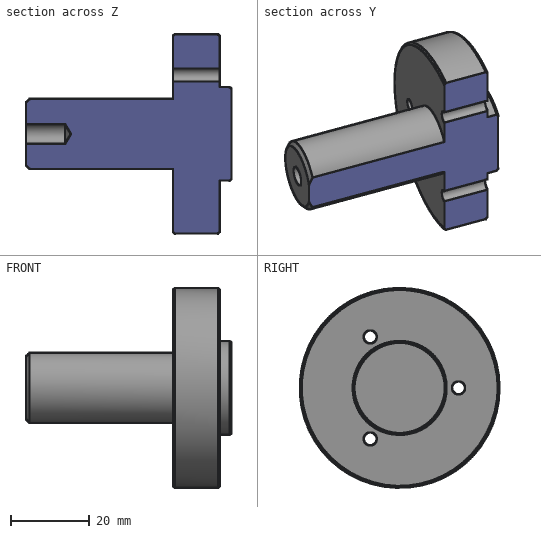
import cadquery as cq
import math

total_length = 52.5
flange_thickness = 12.0
spigot_length = 3.0
shaft_length = total_length - flange_thickness - spigot_length

shaft_diameter = 18.0
flange_diameter = 51.0
spigot_diameter = 24.0

shaft_chamfer = 1.0
rim_chamfer = 0.5

bolt_hole_diameter = 3.25
bolt_circle_radius = 15.0
bolt_hole_count = 3
first_bolt_angle = 90.0

end_hole_diameter = 4.95
end_hole_depth = 10.0
drill_point_angle = 118.0


def cylinder_along_x(start, length, diameter):
    return cq.Workplane("YZ", origin=(start, 0, 0)).circle(diameter / 2).extrude(length)


def make_body():
    """Shaft, flange and spigot on the common X axis."""
    shaft = cylinder_along_x(0, shaft_length, shaft_diameter).faces("<X").chamfer(shaft_chamfer)
    flange = cylinder_along_x(shaft_length, flange_thickness, flange_diameter)
    flange = flange.faces("<X or >X").chamfer(rim_chamfer)
    spigot = cylinder_along_x(shaft_length + flange_thickness, spigot_length, spigot_diameter)
    spigot = spigot.faces(">X").chamfer(rim_chamfer)
    return shaft.union(flange).union(spigot)


def make_bolt_holes():
    """Evenly spaced cutters that pass through the flange."""
    cutters = cq.Workplane("YZ")
    for index in range(bolt_hole_count):
        angle = math.radians(first_bolt_angle + index * 360 / bolt_hole_count)
        cutter = cylinder_along_x(shaft_length, flange_thickness, bolt_hole_diameter)
        y = bolt_circle_radius * math.sin(angle)
        z = bolt_circle_radius * math.cos(angle)
        cutters = cutters.add(cutter.translate((0, y, z)))
    return cutters.combine()


def make_end_hole():
    """Drilled hole with a conical bottom, revolved about the X axis."""
    radius = end_hole_diameter / 2
    point_length = radius / math.tan(math.radians(drill_point_angle / 2))
    profile = [(0, 0), (0, radius), (end_hole_depth, radius), (end_hole_depth + point_length, 0)]
    return cq.Workplane("XY").polyline(profile).close().revolve(360, (0, 0, 0), (1, 0, 0))


result = make_body().cut(make_bolt_holes()).cut(make_end_hole())